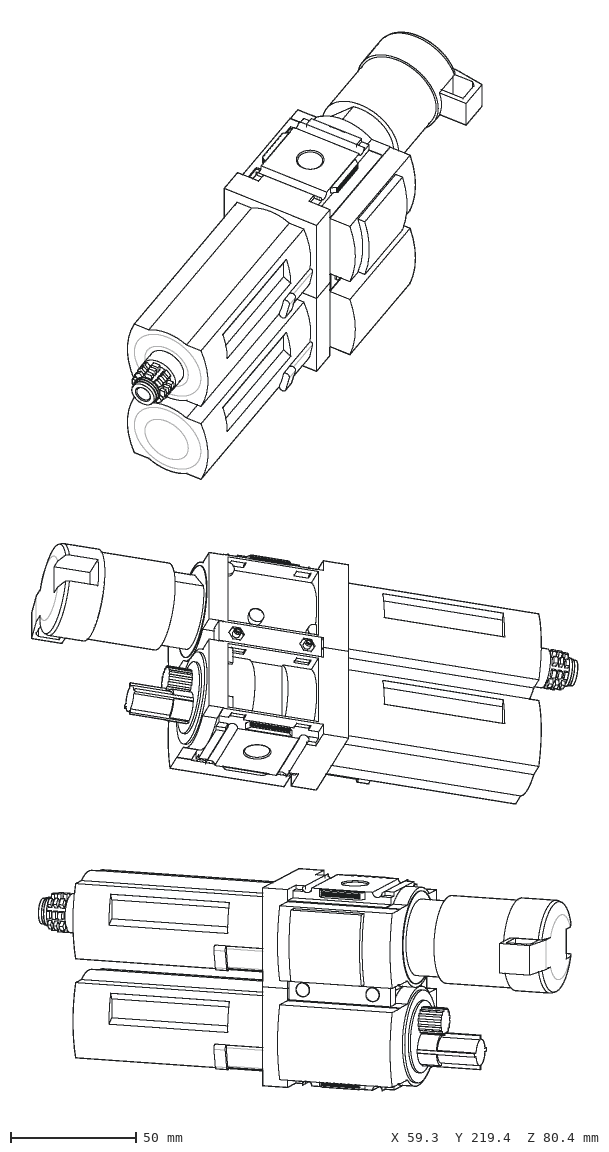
import cadquery as cq
import math


module_height = 40.2
half_height = module_height / 2
half_width = 21.3
housing_front = -31.5
recess_front = -20.9
recess_back = 20.8
housing_back = 26.8
waist_half_height = 15.6
shoulder_half_height = 15.4
shoulder_radius = 20.0

pad_half_width = 15.1
pad_end_half_width = 11.6
pad_corner_drop = 1.6
groove_centre = 14.9
groove_half_width = 2.0
groove_depth = 2.0
ear_reach = 2.3
ear_root_half_length = 9.7
ear_tip_half_length = 7.9
ear_drop = 0.3
ear_height = 2.8
ear_groove_size = 0.5
ear_groove_pitch = 1.0
port_diameter = 10.0
port_mouth_diameter = 11.0
port_depth = 12.0

cavity_half_length = 18.9
cavity_half_height = 14.7
cavity_floor = -10.8
core_radius = 19.0
lip_window_inner = -pad_half_width
lip_window_outer = -18.7
lip_window_centre = 13.6
lip_window_length = 6.1
cavity_boss_diameter = 5.6
cavity_boss_end = -18.6
cavity_boss_y = 18.2
cavity_boss_z = 11.2
button_diameter = 6.1
button_end = -18.6
button_y = 6.1
button_z = -8.4
sight_slot_half_length = 6.9
sight_slot_floor = -10.8
cavity_block_length = 2.9
cavity_block_inner_z = 7.9

cover_half_height = 15.2
cover_edge = 30.5
cover_crown = 33.0
dial_half_height = 14.5
dial_edge = 33.9
dial_crown = 36.0
dial_half_length = 14.95

bowl_end = -112.9
bowl_diameter = 35.2
bowl_half_width = 18.6
bowl_corner_x = 15.4
bowl_flat_z = 15.3
bowl_dish_diameter = 30.7
bowl_tip_diameter = 20.0
bowl_dish_height = 0.8
window_front = -97.6
window_back = -47.3
window_floor_x = 15.3
window_floor_bottom = 2.0
window_floor_top = 9.7
window_top = 12.2
window_top_x = 16.5
latch_width = 1.6
latch_end = -48.0
latch_button_width = 3.0
latch_button_back = -47.5
latch_button_front = -52.3
latch_top = (18.7, -5.9)
latch_bottom = (17.3, -13.6)
latch_button_top = (19.4, -6.4)
latch_button_bottom = (17.7, -13.8)

drain_end = -132.4
drain_base_diameter = 15.8
drain_base_front = -120.1
drain_core_diameter = 11.0
drain_lip_diameter = 11.6
drain_tip_diameter = 10.4
drain_tip_back = -131.0
drain_lip_front = -130.0
drain_lip_back = -128.8
drain_hole_diameter = 6.1
drain_hole_depth = 10.0
drain_hole_chamfer = 0.4
barb_count = 8
barb_width = 3.0
barb_rows = ((-121.5, 1.7, 15.8), (-124.2, 1.4, 15.8), (-126.8, 1.4, 15.0))

collar_diameter = 37.2
collar_back = 27.1
neck_diameter = 30.6
neck_flat_distance = 12.9
sleeve_diameter = 35.2
sleeve_front = 39.8
cap_diameter = 37.2
cap_front = 69.5
cap_back = 84.0
cap_rim_diameter = 36.2
cap_rim_back = 85.4
cap_dome_diameter = 26.0
knob_back = 87.0
lock_half_width = 6.0
lock_notch_front = 72.1
lock_notch_left = -7.0
lock_notch_right = 16.8
handle_end = 29.9
handle_wall = 2.5
handle_bar = 2.0
handle_back = 84.8
handle_inner_bevel = 1.6
strap_inner_back = 84.3

top_disc_back = 27.8
top_step_diameter = 29.0
top_step_back = 28.7
dial_knob_diameter = 11.0
dial_knob_z = 6.7
dial_knob_back = 38.3
knurl_count = 16
knurl_diameter = 1.2
plug_z = -4.8
plug_shoulder_diameter = 12.8
plug_shoulder_back = 36.8
plug_core_diameter = 10.6
plug_back = 53.2
plug_fin_radius = 6.9
plug_fin_thickness = 1.4

connector_half_height = module_height / 2 - waist_half_height
connector_front = -20.2
connector_back = 22.7
connector_centre = 0.5
screw_spacing = 29.6
screw_diameter = 3.0
screw_tip = -23.3
screw_tip_chamfer = 0.4
screw_socket_diameter = 1.6
screw_socket_depth = 1.5
screw_head_diameter = 5.6
screw_head_end = 22.0
screw_head_length = 3.0
bridge_diameter = 4.8
nut_pocket_diameter = 6.4
nut_pocket_depth = 1.0


def block(x_range, y_range, z_range):
    """Axis-aligned box between the given limits."""
    size = [abs(high - low) for low, high in (x_range, y_range, z_range)]
    middle = [(high + low) / 2 for low, high in (x_range, y_range, z_range)]
    return cq.Workplane("XY").box(*size).translate(tuple(middle))


def rod_y(diameter, start, end, x=0.0, z=0.0):
    """Cylinder along Y from start to end."""
    plane = cq.Plane(origin=(x, start, z), xDir=(1, 0, 0), normal=(0, 1, 0))
    return cq.Workplane(plane).circle(diameter / 2).extrude(end - start)


def cone_y(start_diameter, end_diameter, start, end):
    """Truncated cone along the module axis from start to end."""
    plane = cq.Plane(origin=(0, start, 0), xDir=(1, 0, 0), normal=(0, 1, 0))
    cone = cq.Workplane(plane).circle(start_diameter / 2).workplane(offset=end - start)
    return cone.circle(end_diameter / 2).loft()


def rod_x(diameter, start, end, y=0.0, z=0.0):
    """Cylinder along X from start to end."""
    return cq.Workplane("YZ", origin=(start, y, z)).circle(diameter / 2).extrude(end - start)


def port_pad():
    """Raised pad on the +Z face with clamp grooves and side ears."""
    end_start = groove_centre + groove_half_width
    pad = block((-pad_half_width, pad_half_width), (-end_start, end_start), (0, half_height))
    pad = pad.union(block((-pad_end_half_width, pad_end_half_width), (recess_front, recess_back),
                          (0, half_height)))
    pad = pad.union(block((-pad_half_width, pad_half_width), (recess_front, recess_back),
                          (0, half_height - pad_corner_drop)))
    for side in (-1, 1):
        groove = (
            cq.Workplane("YZ", origin=(-pad_half_width, side * groove_centre, half_height))
            .moveTo(-groove_half_width, 0)
            .threePointArc((0, -groove_depth), (groove_half_width, 0))
            .close()
            .extrude(2 * pad_half_width)
        )
        pad = pad.cut(groove).union(port_ear(side))
    return pad


def port_ear(side):
    """Ear beside the port: a trapezoid in plan with two grooves along its outer edge."""
    root = side * pad_half_width
    tip = side * (pad_half_width + ear_reach)
    ear_base = half_height - ear_drop - ear_height
    ear = (
        cq.Workplane("XY", origin=(0, 0, ear_base))
        .moveTo(root, -ear_root_half_length)
        .lineTo(tip, -ear_tip_half_length)
        .lineTo(tip, ear_tip_half_length)
        .lineTo(root, ear_root_half_length)
        .close()
        .extrude(ear_height)
    )
    for z in (-ear_groove_pitch / 2, ear_groove_pitch / 2):
        middle = ear_base + ear_height / 2 + z
        ear = ear.cut(block((tip - side * ear_groove_size, tip),
                            (-ear_root_half_length, ear_root_half_length),
                            (middle - ear_groove_size / 2, middle + ear_groove_size / 2)))
    return ear


def port_hole():
    """Port bored into the +Z pad with a small chamfer at its mouth."""
    chamfer = (port_mouth_diameter - port_diameter) / 2
    bore = (
        cq.Workplane("XY", origin=(0, 0, half_height - port_depth))
        .circle(port_diameter / 2)
        .extrude(port_depth)
    )
    mouth = (
        cq.Workplane("XY", origin=(0, 0, half_height))
        .circle(port_mouth_diameter / 2)
        .workplane(offset=-chamfer)
        .circle(port_diameter / 2)
        .loft()
    )
    return bore.union(mouth)


def side_cavity():
    """Space in the -X face around the round core, with windows through its thin lips."""
    cavity = block((-half_width, cavity_floor), (-cavity_half_length, cavity_half_length),
                   (-cavity_half_height, cavity_half_height))
    for y in (-lip_window_centre, lip_window_centre):
        cavity = cavity.union(
            block((lip_window_outer, lip_window_inner),
                  (y - lip_window_length / 2, y + lip_window_length / 2),
                  (-waist_half_height, waist_half_height)))
    return cavity.cut(rod_y(2 * core_radius, -cavity_half_length, cavity_half_length))


def crowned_plate(start, edge, crown, half_z, y_range):
    """Plate from X = start whose +X face is an arc reaching crown in the middle."""
    return (
        cq.Workplane("XZ", origin=(0, y_range[1], 0))
        .moveTo(start, -half_z)
        .lineTo(edge, -half_z)
        .threePointArc((crown, 0), (edge, half_z))
        .lineTo(start, half_z)
        .close()
        .extrude(y_range[1] - y_range[0])
    )


def housing():
    """Housing block common to both modules, with its +X cover."""
    body = block((-half_width, half_width), (housing_front, recess_front), (-half_height, half_height))
    body = body.union(block((-half_width, half_width), (recess_front, recess_back),
                            (-waist_half_height, waist_half_height)))
    body = body.union(block((-half_width, half_width), (recess_back, housing_back),
                            (-shoulder_half_height, shoulder_half_height)))
    body = body.union(rod_y(2 * shoulder_radius, recess_back, housing_back))
    pad = port_pad()
    hole = port_hole()
    body = body.union(pad).union(pad.mirror("XY"))
    body = body.cut(hole).cut(hole.mirror("XY"))
    body = body.cut(side_cavity())
    cover = crowned_plate(half_width, cover_edge, cover_crown, cover_half_height,
                          (recess_front, housing_back))
    return body.union(cover)


def bowl_outline():
    """Rounded-square bowl merged with the round barrel inside it."""
    shell = (
        cq.Workplane("XZ", origin=(0, housing_front, 0))
        .moveTo(-bowl_corner_x, -bowl_flat_z)
        .lineTo(bowl_corner_x, -bowl_flat_z)
        .threePointArc((bowl_half_width, 0), (bowl_corner_x, bowl_flat_z))
        .lineTo(-bowl_corner_x, bowl_flat_z)
        .threePointArc((-bowl_half_width, 0), (-bowl_corner_x, -bowl_flat_z))
        .close()
        .extrude(housing_front - bowl_end)
    )
    return shell.union(rod_y(bowl_diameter, bowl_end, housing_front))


def bowl_window():
    """Sight recess in the +X side of the bowl with sloping long walls."""
    outer_x = bowl_half_width + 1
    return (
        cq.Workplane("XZ", origin=(0, window_back, 0))
        .moveTo(bowl_half_width, 0)
        .lineTo(window_floor_x, window_floor_bottom)
        .lineTo(window_floor_x, window_floor_top)
        .lineTo(window_top_x, window_top)
        .lineTo(outer_x, window_top)
        .lineTo(outer_x, 0)
        .close()
        .extrude(window_back - window_front)
    )


def latch_bar(top, bottom, width, start, end):
    """Bar along Y with a slot-shaped section between two section centres."""
    length = math.dist(top, bottom) + width
    angle = math.degrees(math.atan2(top[1] - bottom[1], top[0] - bottom[0]))
    centre = ((top[0] + bottom[0]) / 2, (top[1] + bottom[1]) / 2)
    return (
        cq.Workplane("XZ", origin=(0, end, 0))
        .center(*centre)
        .slot2D(length, width, angle)
        .extrude(end - start)
    )


def bowl():
    """Bowl below the housing, with sight recesses, release latch and dished end."""
    body = bowl_outline()
    window = bowl_window()
    body = body.cut(window).cut(window.mirror("YZ"))
    dish = cone_y(bowl_tip_diameter, bowl_dish_diameter, bowl_end - bowl_dish_height, bowl_end)
    latch = latch_bar(latch_top, latch_bottom, latch_width, latch_end, housing_front)
    latch_button = latch_bar(latch_button_top, latch_button_bottom, latch_button_width,
                             latch_button_front, latch_button_back)
    return body.union(dish).union(latch).union(latch_button)


def drain():
    """Drain spigot with rows of barbs on eight radial fingers and a blind bore."""
    spigot = rod_y(drain_base_diameter, drain_base_front, bowl_end)
    spigot = spigot.union(rod_y(drain_core_diameter, drain_tip_back, drain_base_front))
    spigot = spigot.union(rod_y(drain_lip_diameter, drain_lip_front, drain_lip_back))
    spigot = spigot.union(rod_y(drain_tip_diameter, drain_end, drain_tip_back))
    fingers = None
    for index in range(barb_count // 2):
        bar = block((-drain_base_diameter, drain_base_diameter), (drain_end, drain_base_front),
                    (-barb_width / 2, barb_width / 2))
        bar = bar.rotate((0, 0, 0), (0, 1, 0), index * 360 / barb_count)
        fingers = bar if fingers is None else fingers.union(bar)
    for back, thickness, diameter in barb_rows:
        spigot = spigot.union(rod_y(diameter, back - thickness, back).intersect(fingers))
    bore = rod_y(drain_hole_diameter, drain_end, drain_end + drain_hole_depth)
    mouth = cone_y(drain_hole_diameter + 2 * drain_hole_chamfer, drain_hole_diameter,
                   drain_end, drain_end + drain_hole_chamfer)
    return spigot.cut(bore).cut(mouth)


def lock_handle():
    """Padlock strap crossing the cap and forming a loop on the +X side."""
    inner_end = handle_end - handle_wall
    inner_front = lock_notch_front + handle_bar
    return (
        cq.Workplane("XY", origin=(0, 0, -lock_half_width))
        .moveTo(0, strap_inner_back)
        .lineTo(0, knob_back)
        .lineTo(lock_notch_right, knob_back)
        .lineTo(handle_end, handle_back)
        .lineTo(handle_end, lock_notch_front)
        .lineTo(0, lock_notch_front)
        .lineTo(0, inner_front)
        .lineTo(inner_end, inner_front)
        .lineTo(inner_end, strap_inner_back - handle_inner_bevel)
        .lineTo(inner_end - handle_inner_bevel, strap_inner_back)
        .close()
        .extrude(2 * lock_half_width)
    )


def regulator_knob():
    """Collar, flatted neck, sleeve and domed cap with its lock notches and handle."""
    knob = rod_y(neck_diameter, housing_back, sleeve_front)
    flat = block((-neck_diameter, -neck_flat_distance), (collar_back, sleeve_front),
                 (-neck_diameter, neck_diameter)).rotate((0, 0, 0), (0, 1, 0), 45)
    knob = knob.cut(flat)
    knob = knob.union(rod_y(collar_diameter, housing_back, collar_back))
    knob = knob.union(rod_y(sleeve_diameter, sleeve_front, cap_front))
    cap = rod_y(cap_diameter, cap_front, cap_back)
    cap = cap.union(cone_y(cap_diameter, cap_rim_diameter, cap_back, cap_rim_back))
    cap = cap.union(cone_y(cap_rim_diameter, cap_dome_diameter, cap_rim_back, knob_back))
    for notch in ((-cap_diameter, lock_notch_left), (lock_notch_right, cap_diameter)):
        cap = cap.cut(block(notch, (lock_notch_front, knob_back), (-lock_half_width, lock_half_width)))
    return knob.union(cap).union(lock_handle())


def lubricator_top():
    """Stepped cover disc with a knurled dial and a finned filler plug."""
    top = rod_y(collar_diameter, housing_back, top_disc_back)
    top = top.union(rod_y(top_step_diameter, top_disc_back, top_step_back))
    dial = rod_y(dial_knob_diameter, top_step_back, dial_knob_back, z=dial_knob_z)
    for index in range(knurl_count):
        angle = 2 * math.pi * index / knurl_count
        x = dial_knob_diameter / 2 * math.cos(angle)
        z = dial_knob_z + dial_knob_diameter / 2 * math.sin(angle)
        dial = dial.cut(rod_y(knurl_diameter, top_step_back, dial_knob_back, x, z))
    plug = rod_y(plug_shoulder_diameter, top_step_back, plug_shoulder_back, z=plug_z)
    plug = plug.union(rod_y(plug_core_diameter, plug_shoulder_back, plug_back, z=plug_z))
    for reach_x, reach_z in ((plug_fin_radius, plug_fin_thickness / 2),
                             (plug_fin_thickness / 2, plug_fin_radius)):
        plug = plug.union(block((-reach_x, reach_x), (top_step_back, plug_back),
                                (plug_z - reach_z, plug_z + reach_z)))
    return top.union(dial).union(plug)


def filter_regulator():
    """Upper module: housing, drained bowl, pressure dial and regulator knob."""
    body = housing().union(bowl()).union(drain()).union(regulator_knob())
    body = body.union(crowned_plate(cover_edge, dial_edge, dial_crown, dial_half_height,
                                    (-dial_half_length, dial_half_length)))
    body = body.union(rod_x(button_diameter, button_end, cavity_floor, button_y, button_z))
    for side in (-1, 1):
        body = body.union(rod_x(cavity_boss_diameter, cavity_boss_end, cavity_floor,
                                side * cavity_boss_y, side * cavity_boss_z))
    return body.translate((0, 0, half_height))


def lubricator():
    """Lower module: housing with a slotted core, closed bowl and lubricator top."""
    body = housing().union(bowl()).union(lubricator_top())
    body = body.cut(block((-core_radius, sight_slot_floor),
                          (-sight_slot_half_length, sight_slot_half_length),
                          (-cavity_half_height, cavity_half_height)))
    for low, high in ((-cavity_half_height, -cavity_block_inner_z),
                      (cavity_block_inner_z, cavity_half_height)):
        body = body.union(block((cavity_boss_end, cavity_floor),
                                (cavity_half_length - cavity_block_length, cavity_half_length),
                                (low, high)))
    return body.translate((0, 0, -half_height))


def screw_positions():
    """Y positions of the two screw axes."""
    return [connector_centre + side * screw_spacing / 2 for side in (-1, 1)]


def bridges(diameter):
    """Round bars across the stack on the screw axes."""
    bars = [rod_x(diameter, -half_width, half_width, y) for y in screw_positions()]
    return bars[0].union(bars[1])


def connector_screw(y):
    """Screw along X with its head on the +X side and a socket in its tip."""
    screw = rod_x(screw_diameter, screw_tip, screw_head_end, y)
    screw = screw.faces("<X").chamfer(screw_tip_chamfer)
    screw = screw.union(rod_x(screw_head_diameter, screw_head_end - screw_head_length, screw_head_end, y))
    return screw.cut(rod_x(screw_socket_diameter, screw_tip, screw_tip + screw_socket_depth, y))


def connector(modules, screws):
    """Clamp bars beside the pads, joined by bridges and bored for the screws."""
    clamp = bridges(bridge_diameter)
    for limits in ((-half_width, -pad_half_width), (pad_half_width, half_width)):
        bar = block(limits, (connector_front, connector_back),
                    (-connector_half_height, connector_half_height))
        for module in modules:
            bar = bar.cut(module)
        clamp = clamp.union(bar)
    for y, screw in zip(screw_positions(), screws):
        pocket = (
            cq.Workplane("YZ", origin=(-half_width, y, 0))
            .polygon(6, nut_pocket_diameter)
            .extrude(nut_pocket_depth)
        )
        clamp = clamp.cut(screw).cut(pocket)
    return clamp


bridge_holes = bridges(bridge_diameter)
regulator_body = filter_regulator().cut(bridge_holes)
lubricator_body = lubricator().cut(bridge_holes)
screw_bodies = [connector_screw(y) for y in screw_positions()]
connector_body = connector([regulator_body, lubricator_body], screw_bodies)

result = cq.Compound.makeCompound([
    *regulator_body.solids().vals(),
    *lubricator_body.solids().vals(),
    *connector_body.solids().vals(),
    *[screw.solids().val() for screw in screw_bodies],
])